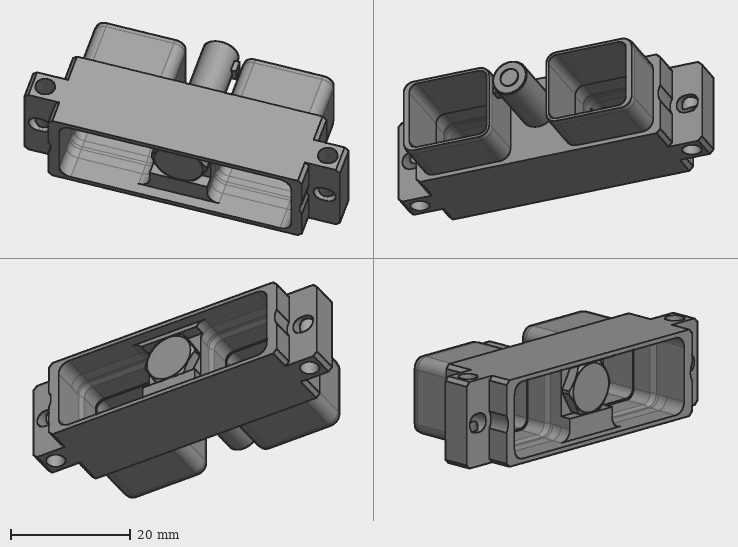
import cadquery as cq

BODY_WIDTH = 44.5
BODY_DEPTH = 14.17
HEIGHT = 15.14
EDGE_CHAMFER = 0.7

EAR_SPAN = 55.38
EAR_DEPTH = 5.0
EAR_FRONT = 4.05
EAR_HOLE_X = 24.8
EAR_CROSS_HOLE_DIA = 3.3
EAR_SLOT_X = 25.0
EAR_SLOT_LENGTH = 3.9
EAR_SLOT_HEIGHT = 3.3
SCREW_CLEARANCE_DIA = 5.9

SOCKET_X = 13.0
SOCKET_WIDTH = 15.9
SOCKET_HEIGHT = 13.5
SOCKET_RADIUS = 2.0
SOCKET_END = 23.05
LIP_LENGTH = 0.85
LIP_INSET = 0.15

WELL_X = 12.7
WELL_WIDTH = 15.3
WELL_HEIGHT = 13.5
WELL_RADIUS = 2.0
RECESS_DEPTH = 1.95
BORE_WIDTH = 14.1
BORE_HEIGHT = 12.2
BORE_RADIUS = 1.5
RAMP_START = 4.2
RAMP_END = 6.0
RAMP_RISE = 0.12
NECK_START = 6.6
NECK_END = 7.7
NECK_INSET = 0.35
NECK_RADIUS = 1.7
BORE_START = 11.5

SCREW_Z = 1.45
NICHE_HEIGHT = 8.8
NICHE_BACK = 4.0
HEAD_FLATS = 8.66
HEAD_CORNERS = 9.7
HEAD_FACE_DIA = 8.5
HEAD_FRONT = RECESS_DEPTH
HEAD_CHAMFER_DEPTH = 0.4
ROD_DIA = 6.2
ROD_END = 26.52
ROD_CHAMFER = 0.15
TIP_DIA = 3.2
OVERALL_DEPTH = 26.67

KEY_START = 22.6
KEY_END = 24.65
KEY_REACH = 3.8
KEY_HEIGHT = 2.3


def section(y, x=0.0, z=0.0):
    """Workplane parallel to XZ at depth y, with its normal along +Y and local Y along -Z."""
    return cq.Workplane(cq.Plane(origin=(x, y, z), xDir=(1, 0, 0), normal=(0, 1, 0)))


def block(width, height, start, end, x=0.0, z=0.0):
    return section(start, x, z).rect(width, height).extrude(end - start)


def rounded_block(width, height, radius, start, end, x=0.0):
    return block(width, height, start, end, x).edges("|Y").fillet(radius)


def cylinder(diameter, start, end, x=0.0, z=0.0):
    return section(start, x, z).circle(diameter / 2).extrude(end - start)


def make_body():
    core = block(BODY_WIDTH, HEIGHT, 0, BODY_DEPTH).edges("|Y").chamfer(EDGE_CHAMFER)
    for side in (-1, 1):
        core = core.cut(cylinder(SCREW_CLEARANCE_DIA, 0, BODY_DEPTH, side * EAR_HOLE_X))
    ear_back = EAR_FRONT + EAR_DEPTH
    ears = block(EAR_SPAN, HEIGHT, EAR_FRONT, ear_back).edges("|Y").chamfer(EDGE_CHAMFER)
    body = core.union(ears)
    for side in (-1, 1):
        slot = section(EAR_FRONT, side * EAR_SLOT_X).slot2D(EAR_SLOT_LENGTH, EAR_SLOT_HEIGHT)
        cross_hole = (
            cq.Workplane("XY")
            .center(side * EAR_HOLE_X, EAR_FRONT + EAR_DEPTH / 2)
            .circle(EAR_CROSS_HOLE_DIA / 2)
            .extrude(HEIGHT, both=True)
        )
        body = body.cut(slot.extrude(EAR_DEPTH)).cut(cross_hole)
    return body


def make_socket(side):
    socket = rounded_block(
        SOCKET_WIDTH, SOCKET_HEIGHT, SOCKET_RADIUS, BODY_DEPTH / 2, SOCKET_END, side * SOCKET_X
    )
    return socket.faces(">Y").chamfer(LIP_LENGTH, LIP_INSET)


def rounded_outline(width, height, radius):
    return cq.Sketch().rect(width, height).vertices().fillet(radius)


def taper(front_size, front_radius, back_size, back_radius, start, end, x):
    """Rounded rectangle that changes evenly from its front size to its back size."""
    shift = cq.Location(cq.Vector(0, 0, end - start))
    front = rounded_outline(*front_size, front_radius)
    back = rounded_outline(*back_size, back_radius).moved(shift)
    return section(start, x).placeSketch(front, back).loft()


def make_well(side):
    """Well that narrows in stages towards the back and ends as the bore through the socket."""
    x = side * WELL_X
    well_size = (WELL_WIDTH, WELL_HEIGHT)
    throat_size = (WELL_WIDTH, WELL_HEIGHT - 2 * RAMP_RISE)
    neck_size = (WELL_WIDTH - 2 * NECK_INSET, WELL_HEIGHT - 2 * NECK_INSET)
    bore_size = (BORE_WIDTH, BORE_HEIGHT)
    stages = [
        rounded_block(*well_size, WELL_RADIUS, 0, RAMP_START, x),
        taper(well_size, WELL_RADIUS, throat_size, WELL_RADIUS, RAMP_START, RAMP_END, x),
        rounded_block(*throat_size, WELL_RADIUS, RAMP_END, NECK_START, x),
        taper(throat_size, WELL_RADIUS, neck_size, NECK_RADIUS, NECK_START, NECK_END, x),
        rounded_block(*neck_size, NECK_RADIUS, NECK_END, BORE_START, x),
        rounded_block(*bore_size, BORE_RADIUS, BORE_START, SOCKET_END, x),
    ]
    well = stages[0]
    for stage in stages[1:]:
        well = well.union(stage)
    return well


def make_front_recess():
    width = 2 * WELL_X + WELL_WIDTH
    recess = rounded_block(width, WELL_HEIGHT, WELL_RADIUS, 0, RECESS_DEPTH)
    niche_width = 2 * WELL_X - WELL_WIDTH + 2 * WELL_RADIUS
    niche = block(niche_width, NICHE_HEIGHT, 0, NICHE_BACK, z=SCREW_Z)
    return recess.union(niche)


def make_screw():
    head = section(HEAD_FRONT, z=SCREW_Z).polygon(6, HEAD_FLATS, circumscribed=True)
    head = head.extrude(NICHE_BACK - HEAD_FRONT)
    head = head.rotate((0, 0, SCREW_Z), (0, 1, SCREW_Z), 90)
    envelope = cylinder(HEAD_CORNERS, HEAD_FRONT, NICHE_BACK, z=SCREW_Z)
    envelope = envelope.faces("<Y").chamfer(HEAD_CHAMFER_DEPTH, (HEAD_CORNERS - HEAD_FACE_DIA) / 2)
    rod = cylinder(ROD_DIA, NICHE_BACK, ROD_END, z=SCREW_Z).faces(">Y").chamfer(ROD_CHAMFER)
    tip = cylinder(TIP_DIA, ROD_END, OVERALL_DEPTH, z=SCREW_Z)
    key = block(KEY_REACH, KEY_HEIGHT, KEY_START, KEY_END, KEY_REACH / 2, SCREW_Z)
    return head.intersect(envelope).union(rod).union(tip).union(key)


result = make_body()
for end in (-1, 1):
    result = result.union(make_socket(end))
for end in (-1, 1):
    result = result.cut(make_well(end))
result = result.cut(make_front_recess()).union(make_screw())